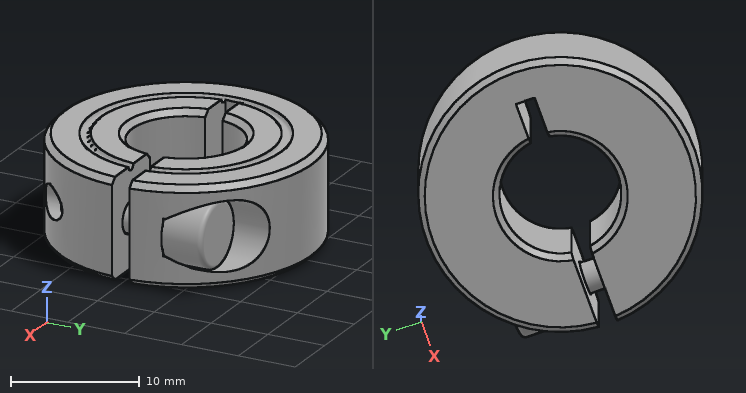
import cadquery as cq

outer_radius = 11.1
bore_radius = 4.75
height = 8.7
edge_chamfer = 0.5

groove_radius = 7.9
groove_half_width = 0.45
lip_width = 0.1
lip_depth = 0.2
groove_depth = 0.4

slot_width = 1.53
slot_end_radius = 8.15

screw_x = 7.95
shank_diameter = 2.55
screw_hole_diameter = 2.7
head_diameter = 5.73
head_height = 3.55
head_fillet = 0.4
seat_y = 3.45
counterbore_clearance = 0.13
shank_length = 10.0
tip_chamfer = 0.62


def cylinder_along_y(diameter, start_y, length):
    """Cylinder on the screw axis, running from start_y towards +Y."""
    plane = cq.Plane(origin=(screw_x, start_y, 0), xDir=(1, 0, 0), normal=(0, 1, 0))
    return cq.Workplane(plane).circle(diameter / 2).extrude(length)


def make_ring():
    """Ring with both rims chamfered, inside and outside."""
    blank = cq.Workplane("XY").circle(outer_radius).circle(bore_radius).extrude(height / 2, both=True)
    return blank.faces("|Z").edges().chamfer(edge_chamfer)


def make_groove():
    """Solid of revolution that removes the top groove."""
    top = height / 2
    channel_half_width = groove_half_width - lip_width
    profile = (
        cq.Workplane("XZ")
        .moveTo(groove_radius - groove_half_width, top)
        .lineTo(groove_radius - channel_half_width, top - lip_depth)
        .threePointArc(
            (groove_radius, top - groove_depth),
            (groove_radius + channel_half_width, top - lip_depth),
        )
        .lineTo(groove_radius + groove_half_width, top)
        .close()
    )
    return profile.revolve(360, (0, 0, 0), (0, 1, 0))


def make_slot():
    """Straight slot, open at +X and closed at -X."""
    length = slot_end_radius + outer_radius
    slot = cq.Workplane("XY").box(length, slot_width, height)
    return slot.translate(((outer_radius - slot_end_radius) / 2, 0, 0))


def make_screw_hole():
    """Through hole for the shank with an open counterbore for the head."""
    hole = cylinder_along_y(screw_hole_diameter, -outer_radius, 2 * outer_radius)
    counterbore_diameter = head_diameter + 2 * counterbore_clearance
    counterbore = cylinder_along_y(counterbore_diameter, seat_y, outer_radius - seat_y)
    return hole.union(counterbore)


def make_screw():
    """Cap screw whose head rests on the counterbore seat."""
    head = cylinder_along_y(head_diameter, seat_y, head_height).faces(">Y").edges().fillet(head_fillet)
    shank = cylinder_along_y(shank_diameter, seat_y - shank_length, shank_length)
    shank = shank.faces("<Y").edges().chamfer(tip_chamfer)
    return head.union(shank)


ring = make_ring().cut(make_groove()).cut(make_slot()).cut(make_screw_hole())
result = ring.union(make_screw())